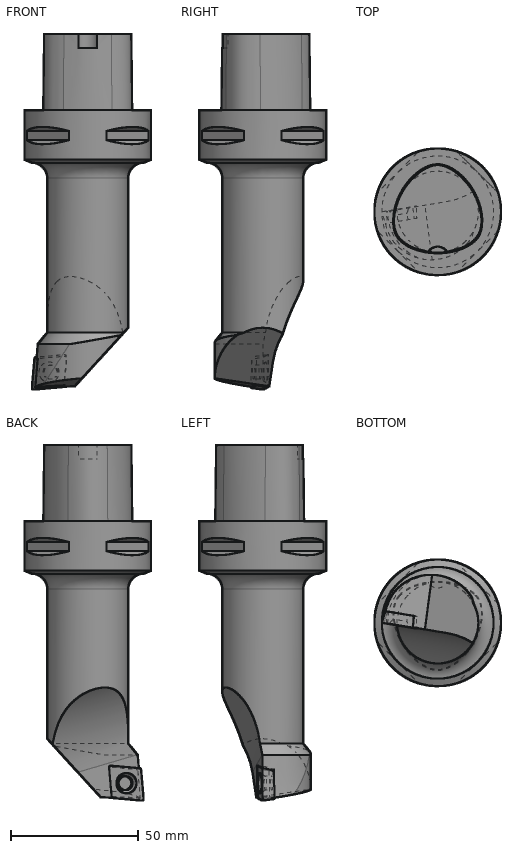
import cadquery as cq
import math


TAPER_LENGTH = 30.0
TAPER_WIDTH = 35.1
LOBE_HEIGHT = 1.2
LOBES = 3
TAPER_SHRINK = 0.35
SEAM_ANGLE = 22.2
SPLINE_STEPS = 8

KEY_RADIUS = 4.3
KEY_AXIS_Y = -18.0
KEY_DEPTH = 5.5

FLANGE_RADIUS = 25.0
FLANGE_THICKNESS = 19.5
GRIP_FLOOR = 22.1
GRIP_FLOOR_HEIGHT = 3.5
GRIP_WALL_ANGLE = 30.0
GRIP_MID_Z = -10.0
GRIP_COUNT = 4

NECK_RADIUS = 16.0
FLARE_RADIUS = 6.0
FLARE_RIM_DROP = 1.2

HEAD_START_Z = -87.5
SHOULDER_HEIGHT = 4.6
SHOULDER_RADIUS = 19.7
HEAD_FLARE_ANGLE = 4.7
RELIEF_RADIUS = 18.9
RELIEF_AXIS_X = -2.6

TIP_X = -22.0
TIP_Z = -110.0

END_FACE_Z = -107.9
END_SLOPE_X = 0.078
END_SLOPE_Y = -0.136

BEVEL_Z = -85.6
BEVEL_ANGLE = 42.4

RAKE_ANGLE = 9.5
FLAT_START_X = -20.5
FLUTE_ROLL = 16.2
FLUTE_RADIUS = 42.3
FLUTE_TANGENT_Z = -91.6
FLUTE_SWEEP = 80.0

INSERT_CIRCLE = 12.7
INSERT_CORNER = 80.0
INSERT_THICKNESS = 4.76
INSERT_CLEARANCE = 7.0
INSERT_LEAD = 5.0
NOSE_RADIUS = 0.8
SCREW_HOLE = 5.5
SCREW_COUNTERSINK = 8.0
SCREW_SINK_ANGLE = 60.0

REACH = 60.0


def polar(distance, degrees):
    angle = math.radians(degrees)
    return distance * math.cos(angle), distance * math.sin(angle)


def polygon_point(mean_radius, normal_angle, z):
    """Point of the three-lobed, constant-width curve whose outward normal has the given angle."""
    angle = math.radians(normal_angle)
    support = mean_radius - LOBE_HEIGHT * math.sin(LOBES * angle)
    slope = -LOBES * LOBE_HEIGHT * math.cos(LOBES * angle)
    x = support * math.cos(angle) - slope * math.sin(angle)
    y = support * math.sin(angle) + slope * math.cos(angle)
    return cq.Vector(x, y, z)


def polygon_edge(mean_radius, start, end, z):
    step = (end - start) / SPLINE_STEPS
    points = [polygon_point(mean_radius, start + i * step, z) for i in range(SPLINE_STEPS + 1)]
    tangents = [cq.Vector(-math.sin(a), math.cos(a), 0) for a in (math.radians(start), math.radians(end))]
    return cq.Edge.makeSpline(points, tangents=tangents)


def polygon_wire(mean_radius, z):
    pitch = 360 / LOBES
    edges = []
    for i in range(LOBES):
        middle = -90 + i * pitch
        edges.append(polygon_edge(mean_radius, middle - SEAM_ANGLE, middle + SEAM_ANGLE, z))
        edges.append(polygon_edge(mean_radius, middle + SEAM_ANGLE, middle + pitch - SEAM_ANGLE, z))
    return cq.Wire.assembleEdges(edges)


def make_taper():
    base_radius = TAPER_WIDTH / 2
    base = polygon_wire(base_radius, 0)
    end = polygon_wire(base_radius - TAPER_SHRINK, TAPER_LENGTH)
    taper = cq.Workplane(cq.Solid.makeLoft([base, end], True))
    notch = (
        cq.Workplane("XY", origin=(0, KEY_AXIS_Y, TAPER_LENGTH - KEY_DEPTH))
        .circle(KEY_RADIUS)
        .extrude(2 * KEY_DEPTH)
    )
    return taper.cut(notch)


def make_flange_and_neck():
    flare_top = -FLANGE_THICKNESS - FLARE_RIM_DROP
    flare_mid = polar(FLARE_RADIUS, 135)
    return (
        cq.Workplane("XZ")
        .lineTo(FLANGE_RADIUS, 0)
        .lineTo(FLANGE_RADIUS, -FLANGE_THICKNESS)
        .lineTo(NECK_RADIUS + FLARE_RADIUS, flare_top)
        .threePointArc(
            (NECK_RADIUS + FLARE_RADIUS + flare_mid[0], flare_top - FLARE_RADIUS + flare_mid[1]),
            (NECK_RADIUS, flare_top - FLARE_RADIUS),
        )
        .lineTo(NECK_RADIUS, HEAD_START_Z)
        .lineTo(0, HEAD_START_Z)
        .close()
        .revolve(360, (0, 0), (0, 1))
    )


def make_grip_slots():
    """Trapezoidal slots across the flange rim, half way between the X and Y axes."""
    depth = 2 * (FLANGE_RADIUS - GRIP_FLOOR)
    half_floor = GRIP_FLOOR_HEIGHT / 2
    half_mouth = half_floor + depth * math.tan(math.radians(GRIP_WALL_ANGLE))
    slot = (
        cq.Workplane("XZ", origin=(0, 0, GRIP_MID_Z))
        .polyline(
            [
                (GRIP_FLOOR, -half_floor),
                (GRIP_FLOOR + depth, -half_mouth),
                (GRIP_FLOOR + depth, half_mouth),
                (GRIP_FLOOR, half_floor),
            ]
        )
        .close()
        .extrude(FLANGE_RADIUS, both=True)
    )
    pitch = 360 / GRIP_COUNT
    return [slot.rotate((0, 0, 0), (0, 0, 1), (i + 0.5) * pitch) for i in range(GRIP_COUNT)]


def make_head():
    """Shoulder and flared head, trimmed at the back by an upright relief cylinder."""
    shoulder_z = HEAD_START_Z - SHOULDER_HEIGHT
    end_radius = SHOULDER_RADIUS + (shoulder_z - TIP_Z) * math.tan(math.radians(HEAD_FLARE_ANGLE))
    head = (
        cq.Workplane("XZ")
        .polyline(
            [
                (0, HEAD_START_Z),
                (NECK_RADIUS, HEAD_START_Z),
                (SHOULDER_RADIUS, shoulder_z),
                (end_radius, TIP_Z),
                (0, TIP_Z),
            ]
        )
        .close()
        .revolve(360, (0, 0), (0, 1))
    )
    relief = (
        cq.Workplane("XY", origin=(RELIEF_AXIS_X, 0, TIP_Z))
        .circle(RELIEF_RADIUS)
        .extrude(HEAD_START_Z - TIP_Z)
    )
    return head.intersect(relief)


def make_end_cut():
    """Block below the sloped end face."""
    plane = cq.Plane(
        origin=(0, 0, END_FACE_Z),
        xDir=(1, 0, END_SLOPE_X),
        normal=(-END_SLOPE_X, -END_SLOPE_Y, 1),
    )
    return cq.Workplane(plane).rect(REACH, REACH).extrude(-REACH)


def make_bevel_cut():
    """Block outside the slanted face on the +X side of the head."""
    angle = math.radians(BEVEL_ANGLE)
    plane = cq.Plane(
        origin=(NECK_RADIUS, 0, BEVEL_Z),
        xDir=(0, 1, 0),
        normal=(math.cos(angle), 0, -math.sin(angle)),
    )
    return cq.Workplane(plane).rect(2 * REACH, 2 * REACH).extrude(REACH)


rake = math.radians(RAKE_ANGLE)
rake_along = cq.Vector(math.cos(rake), math.sin(rake), 0)
rake_out = cq.Vector(-math.sin(rake), math.cos(rake), 0)
upward = cq.Vector(0, 0, 1)

rake_plane = cq.Plane(origin=(TIP_X, 0, TIP_Z), xDir=rake_along * -1, normal=rake_out)


def make_flute_cut():
    """Chip space: a flat parallel to the rake face that curves out of the neck along a tilted line."""
    roll = math.radians(FLUTE_ROLL)
    sweep_up = rake_along * math.sin(roll) + upward * math.cos(roll)
    run_out = rake_along * math.cos(roll) - upward * math.sin(roll)
    plane = cq.Plane(
        origin=cq.Vector(FLAT_START_X, 0, FLUTE_TANGENT_Z),
        xDir=sweep_up,
        normal=run_out * -1,
    )
    arc_mid = polar(FLUTE_RADIUS, -90 + FLUTE_SWEEP / 2)
    arc_end = polar(FLUTE_RADIUS, -90 + FLUTE_SWEEP)
    return (
        cq.Workplane(plane)
        .moveTo(-REACH, 0)
        .lineTo(0, 0)
        .threePointArc(
            (arc_mid[0], FLUTE_RADIUS + arc_mid[1]),
            (arc_end[0], FLUTE_RADIUS + arc_end[1]),
        )
        .lineTo(-REACH, FLUTE_RADIUS + arc_end[1])
        .close()
        .extrude(2 * REACH, both=True)
    )


def make_insert_blank():
    """Rhombic insert without its screw hole, nose at the tool tip, rake face turned out."""
    edge = INSERT_CIRCLE / math.sin(math.radians(INSERT_CORNER))
    nose_offset = NOSE_RADIUS / math.sin(math.radians(INSERT_CORNER / 2))
    back_x, back_y = polar(nose_offset, INSERT_LEAD + INSERT_CORNER / 2)
    corner = (NOSE_RADIUS - back_x, NOSE_RADIUS - back_y)
    end_edge = polar(edge, INSERT_LEAD)
    side_edge = polar(edge, INSERT_LEAD + INSERT_CORNER)
    outline = [
        corner,
        (corner[0] + end_edge[0], corner[1] + end_edge[1]),
        (corner[0] + end_edge[0] + side_edge[0], corner[1] + end_edge[1] + side_edge[1]),
        (corner[0] + side_edge[0], corner[1] + side_edge[1]),
    ]
    blank = (
        cq.Workplane(rake_plane)
        .polyline([(-u, v) for u, v in outline])
        .close()
        .extrude(-INSERT_THICKNESS, taper=INSERT_CLEARANCE)
    )
    long_edges = [e for e in blank.edges().vals() if abs(e.tangentAt(0.5).dot(rake_out)) > 0.5]
    return cq.Workplane(blank.val().fillet(NOSE_RADIUS, long_edges))


def make_screw_hole():
    """Countersunk hole through the middle of the insert, square to the rake face."""
    center_distance = INSERT_CIRCLE / 2 / math.sin(math.radians(INSERT_CORNER / 2))
    nose_gap = NOSE_RADIUS / math.sin(math.radians(INSERT_CORNER / 2))
    from_nose_center = polar(center_distance - nose_gap, INSERT_LEAD + INSERT_CORNER / 2)
    u = NOSE_RADIUS + from_nose_center[0]
    v = NOSE_RADIUS + from_nose_center[1]
    sink_angle = SCREW_SINK_ANGLE / 2
    sink_depth = (SCREW_COUNTERSINK - SCREW_HOLE) / 2 / math.tan(math.radians(sink_angle))
    face = cq.Workplane(rake_plane).center(-u, v)
    bore = face.circle(SCREW_HOLE / 2).extrude(-INSERT_THICKNESS)
    sink = face.circle(SCREW_COUNTERSINK / 2).extrude(-sink_depth, taper=sink_angle)
    return bore.union(sink)


insert_blank = make_insert_blank()
insert = insert_blank.cut(make_screw_hole())

holder = make_flange_and_neck().union(make_taper()).union(make_head())
for slot in make_grip_slots():
    holder = holder.cut(slot)
for cutter in (make_end_cut(), make_bevel_cut(), make_flute_cut()):
    holder = holder.cut(cutter)
holder = holder.cut(insert_blank)

result = cq.Compound.makeCompound([*holder.solids().vals(), *insert.solids().vals()])